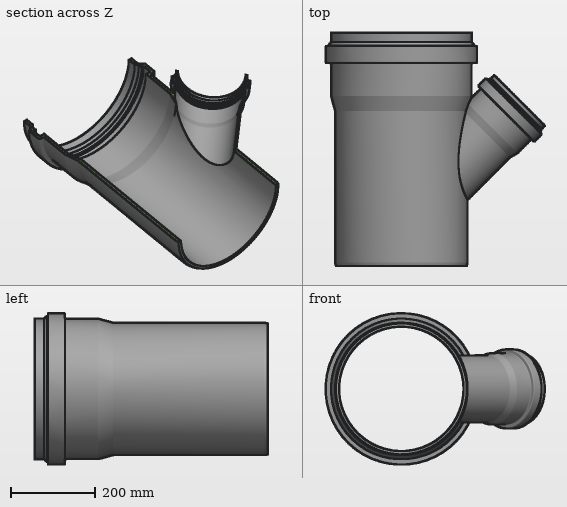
import cadquery as cq
import math

main_length = 555.1
main_pipe_radius = 315.3 / 2
main_bore_radius = 295.3 / 2

spigot_chamfer_angle = 15.0
spigot_chamfer_length = 5.6
spigot_blend_length = 3.7

branch_angle = 45.0
branch_origin_y = 113.0
branch_length = 397.4
branch_pipe_radius = 160.2 / 2
branch_bore_radius = 149.8 / 2

main_socket = dict(
    wall=8.8,
    mouth_radius=335.1 / 2,
    body_radius=334.7 / 2,
    ring_radius=360.8 / 2,
    flare_radius=347.5 / 2,
    flare_start=22.5,
    flare_end=30.0,
    ring_start=31.6,
    ring_end=72.2,
    ring_round=3.1,
    root_round=2.5,
    taper_start=151.2,
    taper_end=187.0,
)
branch_socket = dict(
    wall=4.7,
    mouth_radius=170.7 / 2,
    body_radius=170.4 / 2,
    ring_radius=188.8 / 2,
    flare_radius=177.0 / 2,
    flare_start=11.2,
    flare_end=17.0,
    ring_start=19.0,
    ring_end=45.0,
    ring_round=2.0,
    root_round=1.3,
    taper_start=92.2,
    taper_end=111.5,
)


def revolve_about_y(profile):
    """Close an outline drawn in the XY plane and revolve it one full turn about the Y axis."""
    return profile.close().revolve(360, (0, 0, 0), (0, 1, 0))


def add_square_start(profile, pipe_radius):
    """Square pipe end at Y = 0."""
    return profile.lineTo(pipe_radius, 0)


def add_spigot_start(profile, pipe_radius):
    """Pipe end at Y = 0 with the chamfer and its tangent blend."""
    angle = math.radians(spigot_chamfer_angle)
    blend_radius = spigot_blend_length / math.sin(angle)
    blend_end = spigot_chamfer_length + spigot_blend_length
    blend_depth = blend_radius * (1 - math.cos(angle))
    chamfer_depth = spigot_chamfer_length * math.tan(angle)
    blend_middle = (
        pipe_radius - blend_radius * (1 - math.cos(angle / 2)),
        blend_end - blend_radius * math.sin(angle / 2),
    )
    return (
        profile.lineTo(pipe_radius - blend_depth - chamfer_depth, 0)
        .lineTo(pipe_radius - blend_depth, spigot_chamfer_length)
        .threePointArc(blend_middle, (pipe_radius, blend_end))
    )


def pipe_outside(length, pipe_radius, socket, add_start):
    """Solid envelope of a pipe that runs from Y = 0 to length and ends in a ringed socket."""
    mouth_radius = socket["mouth_radius"]
    body_radius = socket["body_radius"]
    ring_radius = socket["ring_radius"]
    flare_radius = socket["flare_radius"]
    ring_low = length - socket["ring_end"]
    ring_high = length - socket["ring_start"]
    rounding = socket["ring_round"]
    root = socket["root_round"]
    arc_inset = 1 - math.sqrt(0.5)
    sag = rounding * arc_inset
    root_sag = root * arc_inset

    profile = (
        add_start(cq.Workplane("XY").moveTo(0, 0), pipe_radius)
        .lineTo(pipe_radius, length - socket["taper_end"])
        .lineTo(body_radius, length - socket["taper_start"])
        .lineTo(body_radius, ring_low - root)
        .threePointArc((body_radius + root_sag, ring_low - root_sag), (body_radius + root, ring_low))
        .lineTo(ring_radius - rounding, ring_low)
        .threePointArc((ring_radius - sag, ring_low + sag), (ring_radius, ring_low + rounding))
        .lineTo(ring_radius, ring_high - rounding)
        .threePointArc((ring_radius - sag, ring_high - sag), (ring_radius - rounding, ring_high))
        .lineTo(flare_radius, ring_high)
        .lineTo(flare_radius, length - socket["flare_end"])
        .lineTo(mouth_radius, length - socket["flare_start"])
        .lineTo(mouth_radius, length)
        .lineTo(0, length)
    )
    return revolve_about_y(profile)


def pipe_inside(length, bore_radius, socket):
    """Solid of the bore, the socket and its seal groove, one wall inside the envelope."""
    wall = socket["wall"]
    mouth_radius = socket["mouth_radius"] - wall
    body_radius = socket["body_radius"] - wall
    groove_radius = socket["ring_radius"] - wall
    flare_radius = socket["flare_radius"] - wall
    groove_low = length - socket["ring_end"] + wall
    groove_high = length - socket["ring_start"] - wall

    profile = (
        cq.Workplane("XY")
        .moveTo(0, 0)
        .lineTo(bore_radius, 0)
        .lineTo(bore_radius, length - socket["taper_end"])
        .lineTo(body_radius, length - socket["taper_start"])
        .lineTo(body_radius, groove_low)
        .lineTo(groove_radius, groove_low)
        .lineTo(groove_radius, groove_high)
        .lineTo(flare_radius, groove_high)
        .lineTo(flare_radius, length - socket["flare_end"])
        .lineTo(mouth_radius, length - socket["flare_start"])
        .lineTo(mouth_radius, length)
        .lineTo(0, length)
    )
    return revolve_about_y(profile)


def place_branch(solid):
    """Lean a solid built along +Y over toward +X and move it to the axis crossing."""
    return solid.rotate((0, 0, 0), (0, 0, 1), -branch_angle).translate((0, branch_origin_y, 0))


main_pipe = pipe_outside(main_length, main_pipe_radius, main_socket, add_spigot_start)
branch_pipe = place_branch(
    pipe_outside(branch_length, branch_pipe_radius, branch_socket, add_square_start)
)
main_bore = pipe_inside(main_length, main_bore_radius, main_socket)
branch_bore = place_branch(pipe_inside(branch_length, branch_bore_radius, branch_socket))

result = main_pipe.union(branch_pipe).cut(main_bore).cut(branch_bore)